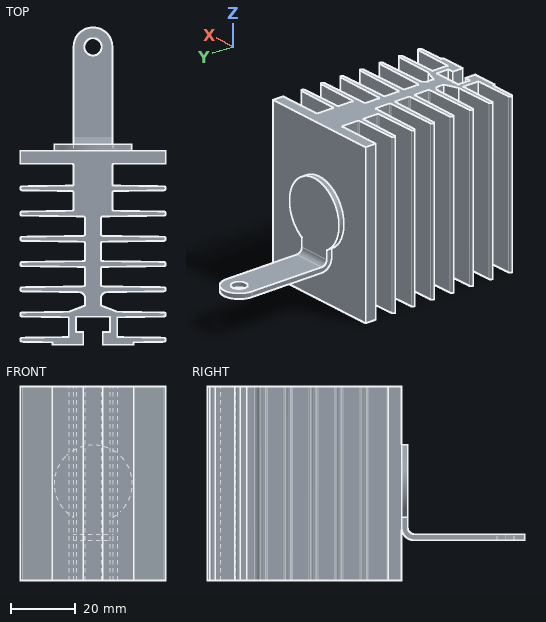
import cadquery as cq
import math

width = 45.0
depth = 60.0
height = 60.0
front_y = -depth

plate_thickness = 4.1
wide_stem_width = 12.1
narrow_stem_width = 5.0
corner_radius = 0.4

fin_count = 7
fin_span = 46.8
fin_pitch = fin_span / (fin_count - 1)
first_fin_offset = 1.6
fin_root_thickness = 2.0
fin_tip_thickness = 1.4
fin_positions = [front_y + first_fin_offset + i * fin_pitch for i in range(fin_count)]
slot_fin_y = fin_positions[1]
gusset_fin_y = fin_positions[2]
stem_step_y = fin_positions[5]

channel_width = 15.0
slot_width = 10.4
slot_opening = 6.0
slot_depth = 8.6
lip_thickness = 4.0
foot_width = 25.1
foot_thickness = 1.0

gusset_top_offset = 12.2
gusset_fillet_radius = 1.8

lug_thickness = 2.0
pad_diameter = 24.0
strap_width = 12.1
strap_length = 38.0
strap_drop = 17.55
bend_inner_radius = 2.0
bend_outer_radius = bend_inner_radius + lug_thickness
strap_hole_diameter = 5.3


def block(block_width, y_start, y_end):
    """Full-height block centred on X between two Y positions."""
    length = y_end - y_start
    return cq.Workplane("XY").box(block_width, length, height).translate((0, y_start + length / 2, 0))


def make_fin_pair(y):
    """Pair of fins that taper from the middle to round tips."""
    root_half = fin_root_thickness / 2
    tip_half = fin_tip_thickness / 2
    tip_x = width / 2 - tip_half
    return (
        cq.Workplane("XY", origin=(0, y, -height / 2))
        .moveTo(0, root_half)
        .lineTo(tip_x, tip_half)
        .threePointArc((width / 2, 0), (tip_x, -tip_half))
        .lineTo(0, -root_half)
        .lineTo(-tip_x, -tip_half)
        .threePointArc((-width / 2, 0), (-tip_x, tip_half))
        .close()
        .extrude(height)
    )


def make_gusset():
    """Wedge that widens from the narrow stem to the channel."""
    top_y = front_y + gusset_top_offset
    taper = (fin_root_thickness - fin_tip_thickness) / (width - fin_tip_thickness)
    base_y = slot_fin_y + (fin_root_thickness - taper * channel_width) / 2
    return (
        cq.Workplane("XY", origin=(0, 0, -height / 2))
        .polyline([
            (narrow_stem_width / 2, top_y),
            (channel_width / 2, base_y),
            (-channel_width / 2, base_y),
            (-narrow_stem_width / 2, top_y),
        ])
        .close()
        .extrude(height)
    )


def fillet_stem_corners(body, stem_width, y_start, y_end, radius):
    """Round the corners on both sides of a stem between two Y positions."""
    margin = 0.1
    half = stem_width / 2
    corners = []
    for x in (-half, half):
        search_box = cq.selectors.BoxSelector((x - margin, y_start, -height), (x + margin, y_end, height))
        corners.extend(body.edges("|Z").edges(search_box).vals())
    return body.newObject(corners).fillet(radius)


def make_heat_sink():
    body = block(width, -plate_thickness, 0)
    body = body.union(block(wide_stem_width, stem_step_y, -plate_thickness))
    body = body.union(block(narrow_stem_width, slot_fin_y, stem_step_y))
    body = body.union(block(channel_width, front_y, slot_fin_y))
    body = body.union(block(foot_width, front_y, front_y + foot_thickness))
    body = body.union(make_gusset())
    for y in fin_positions:
        body = body.union(make_fin_pair(y))

    body = body.cut(block(slot_opening, front_y, front_y + lip_thickness))
    body = body.cut(block(slot_width, front_y + lip_thickness, front_y + slot_depth))

    body = fillet_stem_corners(body, wide_stem_width, stem_step_y, 0, corner_radius)
    body = fillet_stem_corners(body, narrow_stem_width, gusset_fin_y, stem_step_y, corner_radius)
    gap_middle_y = (gusset_fin_y + slot_fin_y) / 2
    return fillet_stem_corners(body, narrow_stem_width, gap_middle_y, gusset_fin_y, gusset_fillet_radius)


def make_terminal_lug():
    """Pad flat on the mounting face, with a strap that bends away from it."""
    pad = cq.Workplane("XZ").circle(pad_diameter / 2).extrude(-lug_thickness)

    strap_bottom = -strap_drop
    bend_z = strap_bottom + bend_outer_radius
    diagonal = math.sqrt(0.5)
    outer_reach = bend_outer_radius * diagonal
    inner_reach = bend_inner_radius * diagonal
    strap = (
        cq.Workplane("YZ", origin=(-strap_width / 2, 0, 0))
        .moveTo(0, 0)
        .lineTo(0, bend_z)
        .threePointArc((bend_outer_radius - outer_reach, bend_z - outer_reach),
                       (bend_outer_radius, strap_bottom))
        .lineTo(strap_length, strap_bottom)
        .lineTo(strap_length, strap_bottom + lug_thickness)
        .lineTo(bend_outer_radius, strap_bottom + lug_thickness)
        .threePointArc((bend_outer_radius - inner_reach, bend_z - inner_reach),
                       (lug_thickness, bend_z))
        .lineTo(lug_thickness, 0)
        .close()
        .extrude(strap_width)
    )

    end_radius = strap_width / 2
    end_y = strap_length - end_radius
    strap_end = cq.Workplane("XY", origin=(0, end_y, strap_bottom))
    square_end = strap_end.center(0, end_radius / 2).rect(strap_width, end_radius).extrude(lug_thickness)
    round_end = strap_end.circle(end_radius).extrude(lug_thickness)
    hole = strap_end.circle(strap_hole_diameter / 2).extrude(lug_thickness)
    return pad.union(strap.cut(square_end)).union(round_end).cut(hole)


heat_sink = make_heat_sink()
terminal_lug = make_terminal_lug()
result = cq.Compound.makeCompound([heat_sink.val(), terminal_lug.val()])